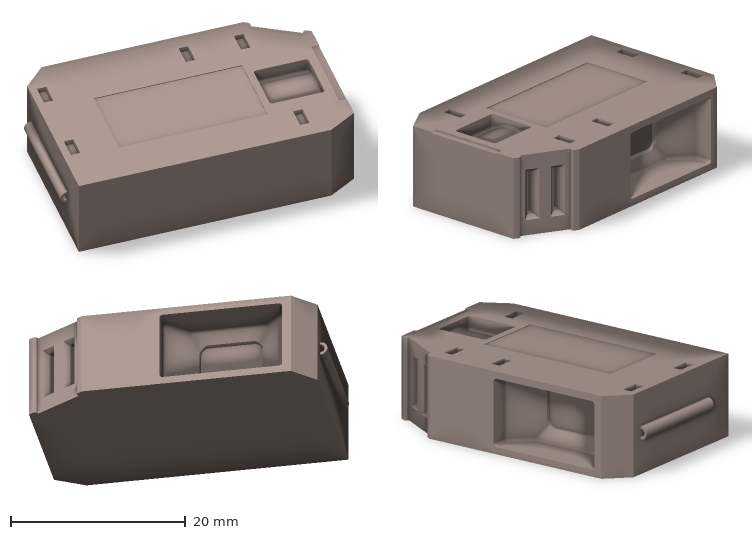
import cadquery as cq
import math

WIDTH = 21.0
BODY_LENGTH = 33.93
HEIGHT = 10.0
MID_Z = HEIGHT / 2

FRONT_LEFT_CUT = 2.6
BACK_RIGHT_CUT_X = 1.95
BACK_RIGHT_CUT_Y = 3.4
SLANT_X = 4.0
SLANT_ANGLE = 60
SLANT_FOOT_Y = BODY_LENGTH - SLANT_X * math.tan(math.radians(SLANT_ANGLE))

STEP_DEPTH = 0.52
STEP_START = 0.9
STEP_LENGTH = 6.15
LIP_RADIUS = 0.3

SLOT_CENTRES = (2.4, 5.55)
SLOT_WIDTH = 1.75
SLOT_HEIGHT = 6.23
SLOT_DEPTH = 0.6
SLOT_INSET = 0.42
GROOVE_MARGIN = 0.1
GROOVE_DEPTH = 1.1

FUNNEL_Y_MIN = 3.62
FUNNEL_Y_MAX = 17.95
FUNNEL_WALL = 0.87
FUNNEL_END_DEPTH = 2.25
FUNNEL_SIDE_DEPTH = 4.52
FUNNEL_DEPTH = 5.9
FUNNEL_FILLET = 0.42
FUNNEL_FLOOR_LENGTH = 6.3
FUNNEL_FLOOR_HEIGHT = 3.7
FUNNEL_FLOOR_SHIFT = 0.15
WELL_LENGTH = 7.17
WELL_HEIGHT = 5.15
WELL_DEPTH = 0.7
WELL_CORNER = 0.95
WELL_DRAFT = 12

FINGER_X_MIN = 8.45
FINGER_WIDTH = 6.02
FINGER_Y_MIN = 25.35
FINGER_LENGTH = 6.65
FINGER_DEPTH = 2.05
FINGER_FLOOR_RADIUS = 4.8
FINGER_FILLET = 0.3

LABEL_X_MIN = 7.05
LABEL_WIDTH = 9.0
LABEL_Y_MIN = 6.5
LABEL_LENGTH = 17.95
LABEL_DEPTH = 0.1

WINDOW_CENTRES = ((3.2, 25.8), (3.2, 19.1), (17.8, 27.98), (4.65, 1.45), (14.3, 1.45))
WINDOW_WIDTH = 2.5
WINDOW_LENGTH = 1.15
WINDOW_DEPTH = 0.63
WINDOW_INSET = 0.07

NOTCH_X_MIN = 6.5
NOTCH_X_MAX = 16.43
NOTCH_LENGTH = 0.9
NOTCH_DEPTH = 0.17

TUBE_X_MIN = 4.0
TUBE_LENGTH = 12.98
TUBE_RADIUS = 0.8
TUBE_STANDOFF = 0.07
TUBE_BORE_RADIUS = 0.5


def box(x_min, y_min, z_min, x_size, y_size, z_size):
    return cq.Workplane("XY").box(x_size, y_size, z_size, centered=False).translate((x_min, y_min, z_min))


def slant_plane():
    """Plane on the slanted face: local x runs down the slant and the normal points outward."""
    angle = math.radians(SLANT_ANGLE)
    return cq.Plane(
        origin=(0, SLANT_FOOT_Y, MID_Z),
        xDir=(-math.cos(angle), -math.sin(angle), 0),
        normal=(-math.sin(angle), math.cos(angle), 0),
    )


def make_body():
    outline = [
        (FRONT_LEFT_CUT, 0),
        (WIDTH, 0),
        (WIDTH, BODY_LENGTH - BACK_RIGHT_CUT_Y),
        (WIDTH - BACK_RIGHT_CUT_X, BODY_LENGTH),
        (SLANT_X, BODY_LENGTH),
        (0, SLANT_FOOT_Y),
        (0, FRONT_LEFT_CUT),
    ]
    return cq.Workplane("XY").polyline(outline).close().extrude(HEIGHT)


def on_slant(distance, depth):
    """Workplane parallel to the slanted face, centred a distance up it and sunk by a depth."""
    return cq.Workplane(slant_plane()).workplane(offset=-depth).center(-distance, 0)


def cut_slant_step(body):
    step_centre = STEP_START + STEP_LENGTH / 2
    step = on_slant(step_centre, 0).rect(STEP_LENGTH, HEIGHT).extrude(-STEP_DEPTH)
    body = body.cut(step)
    for lip in (STEP_START, STEP_START + STEP_LENGTH):
        lip_edge = on_slant(lip, 0).plane.origin
        body = body.edges(cq.selectors.NearestToPointSelector(lip_edge.toTuple())).fillet(LIP_RADIUS)
    return body


def make_slant_slot(distance):
    floor_width = SLOT_WIDTH - 2 * SLOT_INSET
    floor_height = SLOT_HEIGHT - 2 * SLOT_INSET
    slot = (
        on_slant(distance, STEP_DEPTH)
        .rect(SLOT_WIDTH, SLOT_HEIGHT)
        .workplane(offset=-SLOT_DEPTH)
        .rect(floor_width, floor_height)
        .loft(combine=True)
    )
    groove = (
        on_slant(distance, STEP_DEPTH + SLOT_DEPTH)
        .rect(floor_width - 2 * GROOVE_MARGIN, floor_height)
        .extrude(-GROOVE_DEPTH)
    )
    return slot.union(groove)


def tapered_profile(plane, mouth_min, mouth_max, straight_depth, floor_min, floor_max):
    """Section of the funnel: straight from the left face inwards, then narrowing to the floor."""
    return cq.Workplane(plane).polyline([
        (0, mouth_min),
        (straight_depth, mouth_min),
        (FUNNEL_DEPTH, floor_min),
        (FUNNEL_DEPTH, floor_max),
        (straight_depth, mouth_max),
        (0, mouth_max),
    ]).close()


def make_funnel():
    """Pocket narrowing along Y and along Z, with a well that widens from the floor towards the mouth."""
    floor_mid_y = (FUNNEL_Y_MIN + FUNNEL_Y_MAX) / 2 - FUNNEL_FLOOR_SHIFT
    half_length = FUNNEL_FLOOR_LENGTH / 2
    half_height = FUNNEL_FLOOR_HEIGHT / 2
    floor_y_min = floor_mid_y - half_length
    floor_y_max = floor_mid_y + half_length
    along_y = tapered_profile(
        "XY", FUNNEL_Y_MIN, FUNNEL_Y_MAX, FUNNEL_END_DEPTH, floor_y_min, floor_y_max
    ).extrude(HEIGHT)
    along_z = tapered_profile(
        "XZ", FUNNEL_WALL, HEIGHT - FUNNEL_WALL, FUNNEL_SIDE_DEPTH, MID_Z - half_height, MID_Z + half_height
    ).extrude(-BODY_LENGTH)
    funnel = along_y.intersect(along_z).edges("not (<X or >X)").fillet(FUNNEL_FILLET)
    well_floor = cq.Sketch().rect(WELL_LENGTH, WELL_HEIGHT).vertices().fillet(WELL_CORNER)
    well = (
        cq.Workplane("YZ", origin=(FUNNEL_DEPTH, floor_mid_y, MID_Z))
        .placeSketch(well_floor)
        .extrude(-WELL_DEPTH, taper=-WELL_DRAFT)
    )
    return funnel.union(well)


def make_finger_recess():
    block = box(FINGER_X_MIN, FINGER_Y_MIN, 0, FINGER_WIDTH, FINGER_LENGTH, HEIGHT)
    edge_z = HEIGHT - FINGER_DEPTH
    mid_x = FINGER_X_MIN + FINGER_WIDTH / 2
    axis_z = edge_z - math.sqrt(FINGER_FLOOR_RADIUS**2 - (FINGER_WIDTH / 2)**2)
    dome = (
        cq.Workplane("XZ")
        .center(mid_x, axis_z)
        .circle(FINGER_FLOOR_RADIUS)
        .extrude(-BODY_LENGTH)
    )
    below = box(0, 0, 0, WIDTH, BODY_LENGTH, edge_z)
    return block.cut(below).cut(dome).edges("not >Z").fillet(FINGER_FILLET)


def make_window(x, y):
    taper = math.degrees(math.atan(WINDOW_INSET / WINDOW_DEPTH))
    return (
        cq.Workplane("XY", origin=(x, y, HEIGHT))
        .rect(WINDOW_WIDTH, WINDOW_LENGTH)
        .extrude(-WINDOW_DEPTH, taper=taper)
    )


def make_notch():
    """Shallow notch with 45 degree ends."""
    floor_z = HEIGHT - NOTCH_DEPTH
    profile = [
        (NOTCH_X_MIN, HEIGHT),
        (NOTCH_X_MIN + NOTCH_DEPTH, floor_z),
        (NOTCH_X_MAX - NOTCH_DEPTH, floor_z),
        (NOTCH_X_MAX, HEIGHT),
    ]
    return (
        cq.Workplane("XZ", origin=(0, BODY_LENGTH, 0))
        .polyline(profile)
        .close()
        .extrude(NOTCH_LENGTH)
    )


def make_half_tube():
    return (
        cq.Workplane("YZ", origin=(TUBE_X_MIN, 0, MID_Z))
        .moveTo(0, TUBE_RADIUS)
        .lineTo(-TUBE_STANDOFF, TUBE_RADIUS)
        .threePointArc((-TUBE_STANDOFF - TUBE_RADIUS, 0), (-TUBE_STANDOFF, -TUBE_RADIUS))
        .lineTo(0, -TUBE_RADIUS)
        .lineTo(0, -TUBE_BORE_RADIUS)
        .lineTo(-TUBE_STANDOFF, -TUBE_BORE_RADIUS)
        .threePointArc((-TUBE_STANDOFF - TUBE_BORE_RADIUS, 0), (-TUBE_STANDOFF, TUBE_BORE_RADIUS))
        .lineTo(0, TUBE_BORE_RADIUS)
        .close()
        .extrude(TUBE_LENGTH)
    )


result = cut_slant_step(make_body())
for slot_centre in SLOT_CENTRES:
    result = result.cut(make_slant_slot(slot_centre))
result = result.cut(make_funnel())
result = result.cut(make_finger_recess())
label_floor = HEIGHT - LABEL_DEPTH
result = result.cut(box(LABEL_X_MIN, LABEL_Y_MIN, label_floor, LABEL_WIDTH, LABEL_LENGTH, LABEL_DEPTH))
for window_x, window_y in WINDOW_CENTRES:
    result = result.cut(make_window(window_x, window_y))
result = result.cut(make_notch())
result = result.union(make_half_tube())